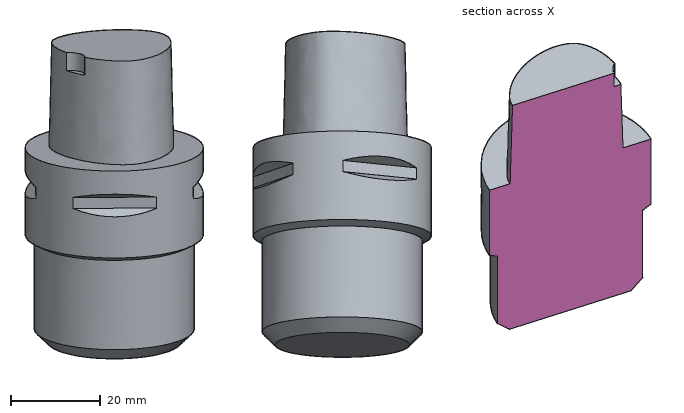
import cadquery as cq
import math

total_height = 69.0
collar_top = 45.05
collar_edge = 24.85
body_top = 23.75

body_radius = 36.0 / 2
collar_radius = 40.0 / 2
bottom_chamfer = 3.0

shank_base_radius = 14.0
shank_taper = 1 / 40
lobe_height = 0.9

slot_count = 4
slot_first_angle = 45.0
slot_z = 37.05
slot_floor_distance = 17.65
slot_floor_width = 2.55
slot_flank_angle = 30.0

notch_radius = 3.5
notch_depth = 4.15
notch_reach = 10.9


def lobed_wire(mean_radius, z):
    """Constant-width closed curve with three lobes, one pointing to +Y."""

    def point(t):
        angle = 2 * math.pi * t
        across = (mean_radius * math.cos(angle) + 2 * lobe_height * math.cos(2 * angle)
                  - lobe_height * math.cos(4 * angle))
        along = (mean_radius * math.sin(angle) - 2 * lobe_height * math.sin(2 * angle)
                 - lobe_height * math.sin(4 * angle))
        return cq.Vector(-along, across, z)

    sample_count = 72
    points = [point(i / sample_count) for i in range(sample_count)]
    return cq.Wire.assembleEdges([cq.Edge.makeSpline(points, periodic=True)])


def turned_body():
    profile = [
        (0, 0),
        (body_radius - bottom_chamfer, 0),
        (body_radius, bottom_chamfer),
        (body_radius, body_top),
        (collar_radius, collar_edge),
        (collar_radius, collar_top),
        (0, collar_top),
    ]
    return cq.Workplane("XZ").polyline(profile).close().revolve(360, (0, 0), (0, 1))


def shank():
    shank_height = total_height - collar_top
    tip_radius = shank_base_radius - shank_taper * shank_height
    base = lobed_wire(shank_base_radius, collar_top)
    tip = lobed_wire(tip_radius, total_height)
    return cq.Workplane(obj=cq.Solid.makeLoft([base, tip], True))


def gripper_slot(angle):
    """Straight trapezoidal cutter lying across the collar."""
    mouth_distance = collar_radius + 0.7
    floor_half = slot_floor_width / 2
    flank_rise = (mouth_distance - slot_floor_distance) * math.tan(math.radians(slot_flank_angle))
    mouth_half = floor_half + flank_rise
    section = [
        (slot_floor_distance, slot_z - floor_half),
        (mouth_distance, slot_z - mouth_half),
        (mouth_distance, slot_z + mouth_half),
        (slot_floor_distance, slot_z + floor_half),
    ]
    cutter = cq.Workplane("XZ").polyline(section).close().extrude(collar_radius, both=True)
    return cutter.rotate((0, 0, 0), (0, 0, 1), angle)


def tip_notch():
    notch = cq.Workplane("XY").workplane(offset=total_height - notch_depth)
    return notch.center(0, -(notch_reach + notch_radius)).circle(notch_radius).extrude(notch_depth)


result = turned_body().union(shank()).cut(tip_notch())
for index in range(slot_count):
    result = result.cut(gripper_slot(slot_first_angle + index * 360 / slot_count))